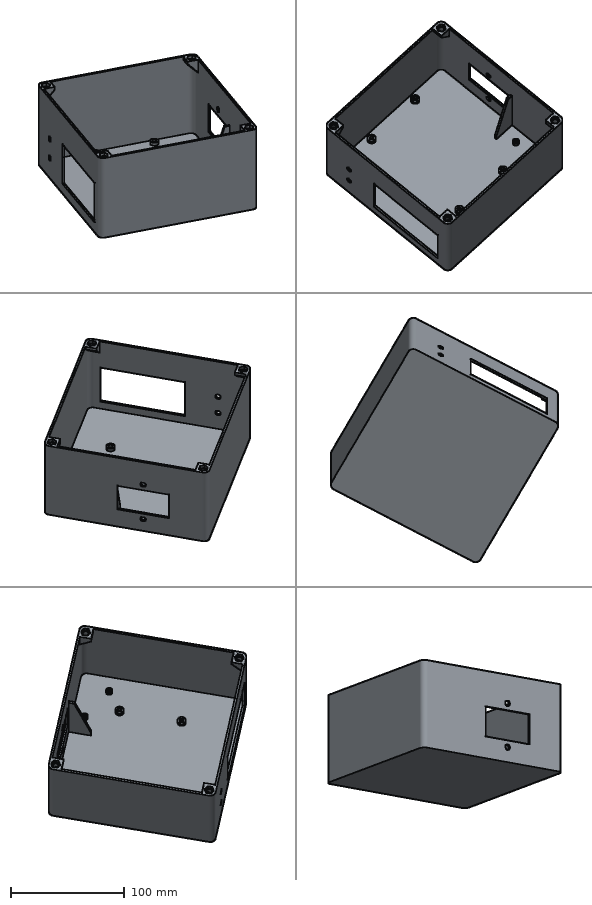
import cadquery as cq

side = 150
height = 80.0
wall = 2.0
floor = 2.0
corner_radius = 5.0
inner_half = side / 2 - wall

post_reach = 10.0
post_depth = 3
post_slope_drop = post_reach
back_right_depth = 5.0
back_right_slope_drop = 8.2
posts = [
    (-1, -1, post_depth, post_slope_drop),
    (1, -1, post_depth, post_slope_drop),
    (-1, 1, post_depth, post_slope_drop),
    (1, 1, back_right_depth, back_right_slope_drop),
]
screw_inset = 6
screw_hole_diameter = 5.0
nut_pocket_diameter = 8.0
nut_pocket_depth = 3
screw_hole_depth = 13.5

display_left = -14.8
display_width = 77.1
display_bottom = 10.0
display_height = 39.5
wall_hole_diameter = 5.0
front_hole_x = -45
front_hole_heights = (20.2, 39.2)

inlet_x = -15.8
inlet_z = 33.8
inlet_width = 47.0
inlet_height = 27.5
inlet_screw_spacing = 40.0

rib_x = 12
rib_thickness = 2.0
rib_top = 52.0
rib_length = 20.1
rib_tip = 5.0

standoff_height = 3
board_standoff_diameter = 7.5
board_hole_diameter = 3.8
board_left = -66.6
board_front = -23.0
board_pitch_x = 106.4
board_pitch_y = 55.8
small_standoff_diameter = 5.5
small_hole_diameter = 2.8
small_standoff_points = [(28.0, 62.0), (57.8, 45.8)]


def block(x_min, x_max, y_min, y_max, z_min, z_max):
    size = (x_max - x_min, y_max - y_min, z_max - z_min)
    return cq.Workplane("XY").box(*size, centered=False).translate((x_min, y_min, z_min))


def rounded_prism(width, z_min, z_max):
    prism = cq.Workplane("XY").workplane(offset=z_min).rect(width, width).extrude(z_max - z_min)
    return prism.edges("|Z").fillet(corner_radius)


def shell():
    return rounded_prism(side, 0, height).cut(rounded_prism(2 * inner_half, floor, height))


def corner_post(x_sign, y_sign, depth, slope_drop):
    """Post whose underside slopes down towards the front or back wall."""
    embed = side / 2 - wall / 2
    inner_face = inner_half - post_reach
    inner_bottom = height - depth
    wall_bottom = inner_bottom - slope_drop
    profile = [
        (y_sign * inner_face, height),
        (y_sign * embed, height),
        (y_sign * embed, wall_bottom),
        (y_sign * inner_half, wall_bottom),
        (y_sign * inner_face, inner_bottom),
    ]
    plane = cq.Workplane("YZ", origin=(x_sign * inner_face, 0, 0))
    post = plane.polyline(profile).close().extrude(x_sign * (embed - inner_face))
    return post.intersect(rounded_prism(side, 0, height))


def corner_screw_cutter(x_sign, y_sign):
    """Screw hole under a hexagonal nut pocket that has corners toward +Y and -Y."""
    position = side / 2 - screw_inset
    plane = cq.Workplane("XY", origin=(x_sign * position, y_sign * position, height))
    hole = plane.circle(screw_hole_diameter / 2).extrude(-screw_hole_depth)
    nut_outline = plane.transformed(rotate=(0, 0, 90)).polygon(6, nut_pocket_diameter)
    nut_pocket = nut_outline.extrude(-nut_pocket_depth)
    return hole.union(nut_pocket)


def wall_holes(points, outer_y):
    """Round cutters through a front or back wall whose outer face is at outer_y."""
    inward = 1 if outer_y < 0 else -1
    plane = cq.Workplane("XZ", origin=(0, outer_y, 0))
    return plane.pushPoints(points).circle(wall_hole_diameter / 2).extrude(-inward * 2 * wall)


def front_openings():
    window = block(
        display_left, display_left + display_width,
        -side / 2, -side / 2 + 2 * wall,
        display_bottom, display_bottom + display_height,
    )
    return window.union(wall_holes([(front_hole_x, z) for z in front_hole_heights], -side / 2))


def back_openings():
    inlet = block(
        inlet_x - inlet_width / 2, inlet_x + inlet_width / 2,
        side / 2 - 2 * wall, side / 2,
        inlet_z - inlet_height / 2, inlet_z + inlet_height / 2,
    )
    screw_points = [(inlet_x, inlet_z + sign * inlet_screw_spacing / 2) for sign in (-1, 1)]
    return inlet.union(wall_holes(screw_points, side / 2))


def rib():
    tip_y = inner_half - rib_length
    profile = [
        (inner_half, floor),
        (tip_y, floor),
        (tip_y, floor + rib_tip),
        (inner_half - rib_tip, rib_top),
        (inner_half, rib_top),
    ]
    plane = cq.Workplane("YZ", origin=(rib_x - rib_thickness / 2, 0, 0))
    return plane.polyline(profile).close().extrude(rib_thickness)


def standoffs(points, outer_diameter, hole_diameter):
    plane = cq.Workplane("XY", origin=(0, 0, floor))
    rings = plane.pushPoints(points).circle(outer_diameter / 2).circle(hole_diameter / 2)
    return rings.extrude(standoff_height)


board_points = [
    (board_left + column * board_pitch_x, board_front + row * board_pitch_y)
    for column in (0, 1)
    for row in (0, 1)
]

result = shell()
for x_sign, y_sign, depth, slope_drop in posts:
    result = result.union(corner_post(x_sign, y_sign, depth, slope_drop))
    result = result.cut(corner_screw_cutter(x_sign, y_sign))
result = result.cut(front_openings())
result = result.cut(back_openings())
result = result.union(rib())
result = result.union(standoffs(board_points, board_standoff_diameter, board_hole_diameter))
result = result.union(standoffs(small_standoff_points, small_standoff_diameter, small_hole_diameter))